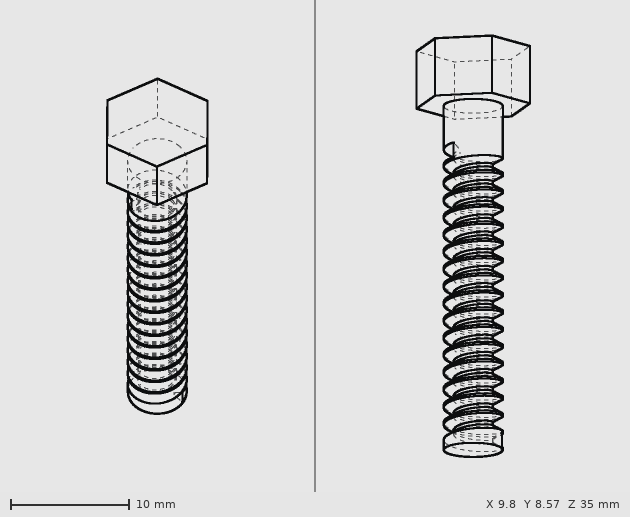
import cadquery as cq

total_length = 35.0
head_height = 5.0
shank_diameter = 5.0

head_corner_diameter = 9.8
head_turn = 1.0

thread_rise = 25.0
thread_turns = 50 / 3
groove_start_z = 0.75
groove_depth = 0.85
groove_mouth = 1.3
groove_floor = 0.3

shank_radius = shank_diameter / 2
shank_length = total_length - head_height
thread_pitch = thread_rise / thread_turns


def make_head():
    """Regular hexagonal prism on top of the shank."""
    return (
        cq.Workplane("XY")
        .workplane(offset=shank_length)
        .polygon(6, head_corner_diameter)
        .extrude(head_height)
        .rotate((0, 0, 0), (0, 0, 1), head_turn)
    )


def make_shank():
    """Plain cylinder under the head."""
    return cq.Workplane("XY").circle(shank_radius).extrude(shank_length)


def make_groove_cutter():
    """Trapezoid swept along the thread helix, reaching a little outside the shank."""
    overshoot = 0.07
    floor_radius = shank_radius - groove_depth
    outer_radius = shank_radius + overshoot
    flank_slope = (groove_mouth - groove_floor) / 2 / groove_depth
    outer_half = groove_mouth / 2 + overshoot * flank_slope
    floor_half = groove_floor / 2
    helix = cq.Wire.makeHelix(thread_pitch, thread_rise, shank_radius)
    return (
        cq.Workplane("XZ")
        .polyline([
            (floor_radius, -floor_half),
            (outer_radius, -outer_half),
            (outer_radius, outer_half),
            (floor_radius, floor_half),
        ])
        .close()
        .sweep(cq.Workplane(obj=helix), isFrenet=True)
        .translate((0, 0, groove_start_z))
    )


threaded_shank = make_shank().cut(make_groove_cutter())
result = make_head().union(threaded_shank)